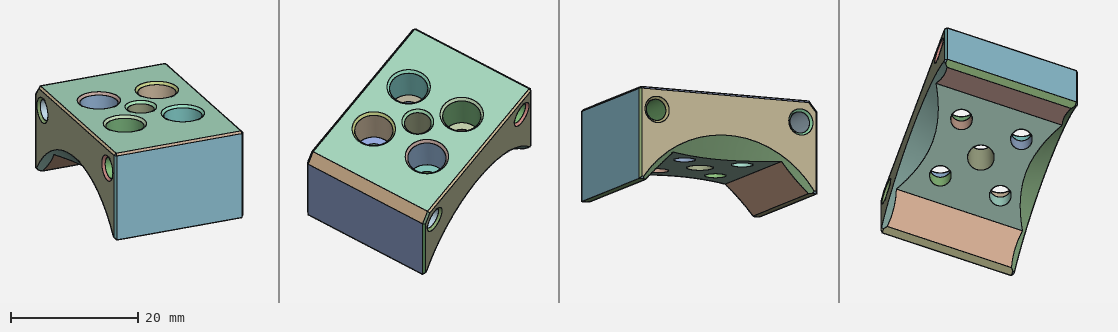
import cadquery as cq

LENGTH = 30.8
DEPTH = 22.18
HEIGHT = 14.75
EDGE_CHAMFER = 0.35
BEVEL_WIDTH = 1.42
BEVEL_HEIGHT = 1.7

ROOF_THICKNESS = 10.0
CHANNEL_TOP_WIDTH = 18.73

FLARE_RADIUS = 18.0
FLARE_CROWN_HEIGHT = 8.07

CLEARANCE_DIAMETER = 3.4
CENTRE_DIAMETER = 4.2
COUNTERBORE_DIAMETER = 6.0
COUNTERBORE_DEPTH = 6.0
MOUTH_CHAMFER = 0.4
BOLT_SPACING = 9.98
PATTERN_OFFSET = 0.28
SIDE_HOLE_SPACING = 24.9
SIDE_HOLE_DROP = 3.55


def make_block():
    """Block with one large bevel and small chamfers round its end faces and on one top edge."""
    left, right = -LENGTH / 2, LENGTH / 2
    block = (
        cq.Workplane("XZ", origin=(0, DEPTH / 2, 0))
        .moveTo(left, 0)
        .lineTo(right, 0)
        .lineTo(right, HEIGHT)
        .lineTo(left + BEVEL_WIDTH, HEIGHT)
        .lineTo(left, HEIGHT - BEVEL_HEIGHT)
        .close()
        .extrude(DEPTH)
    )
    return block.edges("<Y or >Y or (>X and >Z)").chamfer(EDGE_CHAMFER)


def make_channel():
    """Trapezoidal prism that runs the full depth of the block."""
    top = HEIGHT - ROOF_THICKNESS
    half_top = CHANNEL_TOP_WIDTH / 2
    half_bottom = half_top + top
    return (
        cq.Workplane("XZ", origin=(0, DEPTH / 2, 0))
        .polyline([(-half_bottom, 0), (-half_top, top), (half_top, top), (half_bottom, 0)])
        .close()
        .extrude(DEPTH)
    )


def make_flare():
    """45 degree cone that is widest on the front face and narrows into the block."""
    axis_height = FLARE_CROWN_HEIGHT - FLARE_RADIUS
    flare_depth = DEPTH / 2
    inner_radius = FLARE_RADIUS - flare_depth
    cone = cq.Solid.makeCone(
        FLARE_RADIUS,
        inner_radius,
        flare_depth,
        cq.Vector(0, -DEPTH / 2, axis_height),
        cq.Vector(0, 1, 0),
    )
    return cq.Workplane(cone)


def make_mouth_cutter(diameter, start, direction):
    """Conical chamfer at the mouth of a hole."""
    radius = diameter / 2
    return cq.Workplane(
        cq.Solid.makeCone(radius + MOUTH_CHAMFER, radius, MOUTH_CHAMFER, start, direction)
    )


def make_hole(diameter, length, start, direction):
    """Cylindrical cutter with a chamfered mouth at its start."""
    cylinder = cq.Solid.makeCylinder(diameter / 2, length, start, direction)
    return cq.Workplane(cylinder).union(make_mouth_cutter(diameter, start, direction))


result = make_block().cut(make_channel())

front_flare = make_flare()
result = result.cut(front_flare).cut(front_flare.mirror("XZ"))

down = cq.Vector(0, 0, -1)
result = result.cut(make_hole(CENTRE_DIAMETER, HEIGHT, cq.Vector(0, PATTERN_OFFSET, HEIGHT), down))
for x_side in (-1, 1):
    for y_side in (-1, 1):
        bolt_top = cq.Vector(
            x_side * BOLT_SPACING / 2,
            PATTERN_OFFSET + y_side * BOLT_SPACING / 2,
            HEIGHT,
        )
        shank = cq.Solid.makeCylinder(CLEARANCE_DIAMETER / 2, HEIGHT, bolt_top, down)
        counterbore = make_hole(COUNTERBORE_DIAMETER, COUNTERBORE_DEPTH, bolt_top, down)
        result = result.cut(cq.Workplane(shank)).cut(counterbore)

inward = cq.Vector(0, 1, 0)
for x_side in (-1, 1):
    x = x_side * SIDE_HOLE_SPACING / 2
    z = HEIGHT - SIDE_HOLE_DROP
    front_mouth = cq.Vector(x, -DEPTH / 2, z)
    back_mouth = cq.Vector(x, DEPTH / 2, z)
    result = result.cut(make_hole(CLEARANCE_DIAMETER, DEPTH, front_mouth, inward))
    result = result.cut(make_mouth_cutter(CLEARANCE_DIAMETER, back_mouth, -inward))